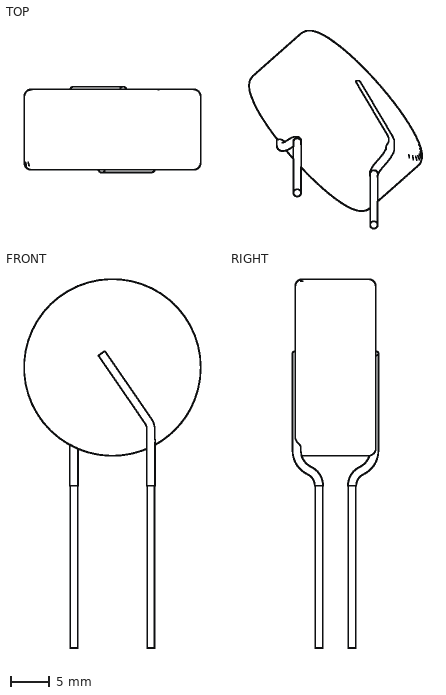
import cadquery as cq
import math

body_diameter = 23.0
body_thickness = 10.5
body_edge_radius = 1.0

overall_thickness = 11.2
overall_height = 48.0
coated_diameter = 1.1
bare_diameter = 1.0
lead_x = 5.0
bare_lead_y = 2.15
coated_lead_y = (overall_thickness - coated_diameter) / 2

wire_tip_x = -1.4
slant_angle = math.radians(34.5)
slant_bend_radius = 2.0
slant_bend_end_z = -8.1

s_bend_top_z = -10.8
s_bend_bottom_z = -15.4
upper_radius = 2.9

lead_bottom_z = body_diameter / 2 - overall_height


def make_body():
    back_face = cq.Workplane("XZ", origin=(0, body_thickness / 2, 0))
    disc = back_face.circle(body_diameter / 2).extrude(body_thickness)
    return disc.edges().fillet(body_edge_radius)


def make_coated_wire():
    """Coated wire of the front lead: face slant, bend, straight drop and S-bend."""
    bend_start_x = lead_x - slant_bend_radius * (1 - math.cos(slant_angle))
    bend_start_z = slant_bend_end_z + slant_bend_radius * math.sin(slant_angle)
    bend_middle_x = lead_x - slant_bend_radius * (1 - math.cos(slant_angle / 2))
    bend_middle_z = slant_bend_end_z + slant_bend_radius * math.sin(slant_angle / 2)
    wire_tip_z = bend_start_z + (bend_start_x - wire_tip_x) / math.tan(slant_angle)

    inward_offset = coated_lead_y - bare_lead_y
    drop = s_bend_top_z - s_bend_bottom_z
    s_bend_angle = 2 * math.atan(inward_offset / drop)
    lower_radius = drop / math.sin(s_bend_angle) - upper_radius

    def upper_arc_point(angle):
        y = -coated_lead_y + upper_radius * (1 - math.cos(angle))
        return cq.Vector(lead_x, y, s_bend_top_z - upper_radius * math.sin(angle))

    def lower_arc_point(angle):
        y = -bare_lead_y - lower_radius * (1 - math.cos(angle))
        return cq.Vector(lead_x, y, s_bend_bottom_z + lower_radius * math.sin(angle))

    tip = cq.Vector(wire_tip_x, -coated_lead_y, wire_tip_z)
    bend_start = cq.Vector(bend_start_x, -coated_lead_y, bend_start_z)
    bend_middle = cq.Vector(bend_middle_x, -coated_lead_y, bend_middle_z)
    bend_end = cq.Vector(lead_x, -coated_lead_y, slant_bend_end_z)
    s_top = upper_arc_point(0)
    s_joint = upper_arc_point(s_bend_angle)
    s_bottom = lower_arc_point(0)

    path = cq.Wire.assembleEdges([
        cq.Edge.makeLine(tip, bend_start),
        cq.Edge.makeThreePointArc(bend_start, bend_middle, bend_end),
        cq.Edge.makeLine(bend_end, s_top),
        cq.Edge.makeThreePointArc(s_top, upper_arc_point(s_bend_angle / 2), s_joint),
        cq.Edge.makeThreePointArc(s_joint, lower_arc_point(s_bend_angle / 2), s_bottom),
    ])
    tip_plane = cq.Plane(origin=tip, xDir=(0, 1, 0), normal=bend_start - tip)
    return cq.Workplane(tip_plane).circle(coated_diameter / 2).sweep(cq.Workplane(path))


def make_bare_wire():
    start = cq.Workplane("XY", origin=(lead_x, -bare_lead_y, s_bend_bottom_z))
    return start.circle(bare_diameter / 2).extrude(lead_bottom_z - s_bend_bottom_z)


front_lead = make_coated_wire().union(make_bare_wire())
back_lead = front_lead.rotate((0, 0, 0), (0, 0, 1), 180)

result = make_body().union(front_lead).union(back_lead)